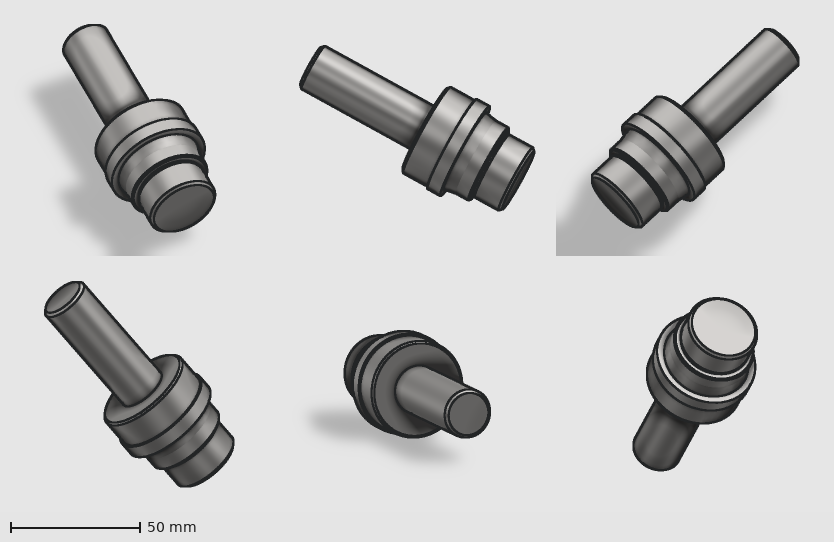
import cadquery as cq

total_length = 91.95
head_start = 50.8
collar_start = 62.6
collar_end = 68.4
taper_end = 73.4
land_end = 79.3
groove_end = 80.3

shaft_radius = 19.0 / 2
head_radius = 19.0
collar_radius = 39.6 / 2
taper_large_radius = 17.0
land_radius = 16.1
groove_radius = 13.5
spigot_radius = 13.9

shaft_chamfer = 1.2
head_chamfer = 0.8
land_chamfer = 0.55
spigot_chamfer = 1.1

half_section = [
    (0, 0),
    (0, shaft_radius - shaft_chamfer),
    (shaft_chamfer, shaft_radius),
    (head_start, shaft_radius),
    (head_start, head_radius - head_chamfer),
    (head_start + head_chamfer, head_radius),
    (collar_start, head_radius),
    (collar_start, collar_radius),
    (collar_end, collar_radius),
    (collar_end, taper_large_radius),
    (taper_end, land_radius),
    (land_end - land_chamfer, land_radius),
    (land_end, land_radius - land_chamfer),
    (land_end, groove_radius),
    (groove_end, groove_radius),
    (groove_end, spigot_radius),
    (total_length - spigot_chamfer, spigot_radius),
    (total_length, spigot_radius - spigot_chamfer),
    (total_length, 0),
]

result = cq.Workplane("XY").polyline(half_section).close().revolve(360, (0, 0, 0), (1, 0, 0))